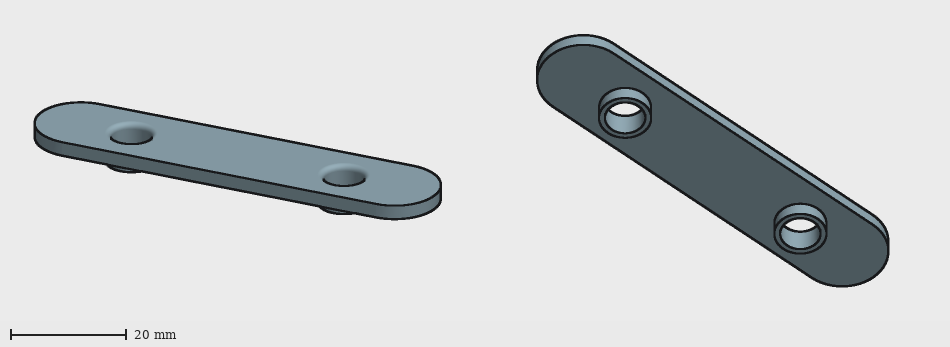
import cadquery as cq

plate_length = 75.1
plate_width = 16.0
plate_thickness = 2.6

total_height = 5.3
boss_spacing = 40.0
boss_diameter = 9.0
hole_diameter = 7.0

mouth_radius = (boss_diameter - hole_diameter) / 2
boss_height = total_height - plate_thickness
boss_centers = [(-boss_spacing / 2, 0), (boss_spacing / 2, 0)]


def make_plate():
    """Flat plate whose underside lies on Z = 0."""
    return cq.Workplane("XY").slot2D(plate_length, plate_width).extrude(plate_thickness)


def make_bosses():
    """Round bosses hanging below the plate."""
    return cq.Workplane("XY").pushPoints(boss_centers).circle(boss_diameter / 2).extrude(-boss_height)


def make_hole_cutter(center):
    """Through hole that flares out at the top along a quarter-circle rounding."""
    hole_radius = hole_diameter / 2
    mouth_outer_radius = hole_radius + mouth_radius
    mouth_bottom = plate_thickness - mouth_radius
    arc_offset = mouth_radius * (1 - 0.5**0.5)
    profile = (
        cq.Workplane("XZ")
        .moveTo(0, -boss_height)
        .lineTo(hole_radius, -boss_height)
        .lineTo(hole_radius, mouth_bottom)
        .threePointArc(
            (hole_radius + arc_offset, plate_thickness - arc_offset),
            (mouth_outer_radius, plate_thickness),
        )
        .lineTo(0, plate_thickness)
        .close()
    )
    return profile.revolve(360, (0, 0, 0), (0, 1, 0)).translate((*center, 0))


result = make_plate().union(make_bosses())
for boss_center in boss_centers:
    result = result.cut(make_hole_cutter(boss_center))